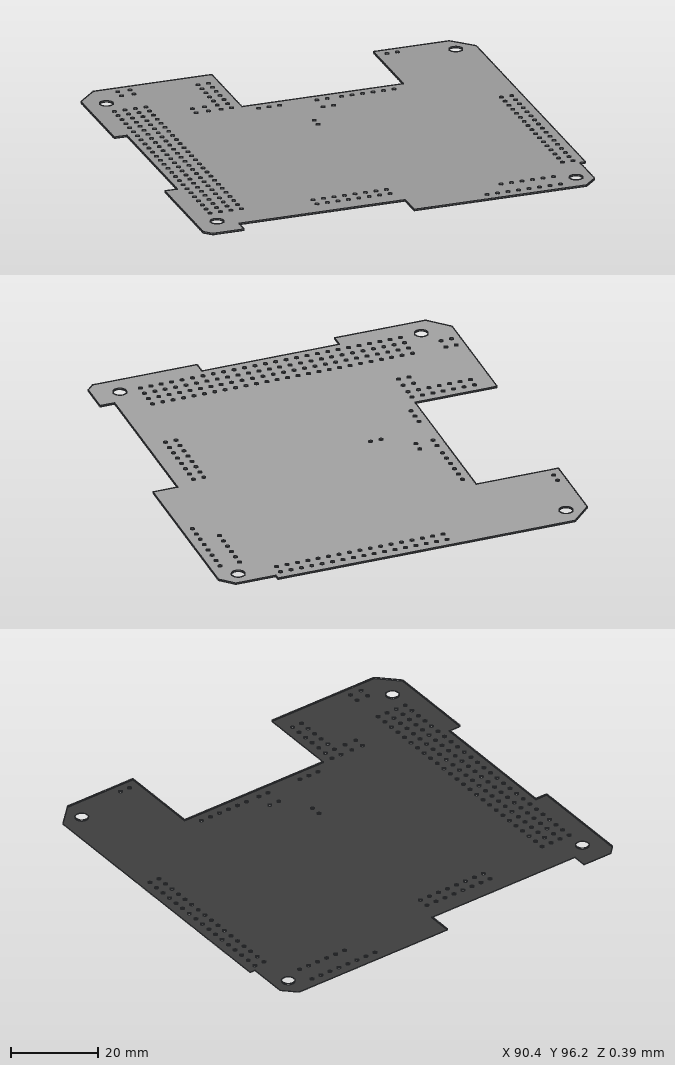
import cadquery as cq

board_width = 90.4
board_length = 96.2
board_thickness = 0.39

top_left_cut = 4.8
top_right_cut = 3.1
bottom_left_cut = 4.7
bottom_right_cut = 1.7

left_recess_depth = 20.1
left_recess_bottom = 33.6
left_recess_top = 72.9
bottom_recess_depth = 3.1
bottom_recess_left = 26.9
bottom_recess_right = 60.6
right_recess_x = 84.3
right_recess_bottom = 9.3
right_recess_top = 49.8
top_step_x = 77.5
top_step_depth = 1.3

tab_right_x = 87.9

mount_diameter = 3.2
mount_inset = 5.1
lower_left_mount_x = 7.7
lower_right_mount_x = 81.4

pin_diameter = 0.9
long_header_columns = 26
long_header_span = 63.7
pin_pitch = long_header_span / (long_header_columns - 1)
wide_row_spacing = 3.0
jumper_column_spacing = 4.2

long_header_origin = (12.8, 5.2)
top_header_origin = (35.2, 91.2)
right_inner_column_origin = (83.2, 73.6)
right_outer_column_origin = (87.9, 68.5)
right_header_origin = (77.2, 30.0)
upper_left_pair_origin = (2.1, 75.4)
middle_pair_origin = (33.3, 46.35)
left_header_origin = (4.6, 28.6)
left_header_columns = 7
left_block_bottom = 22.5
corner_block_origin = (2.1, 9.9)

left_line_x = 22.3
upper_line_bottom = 57.0
jumper_bottom = 51.0
lower_line_bottom = 36.8

left_block_x = left_header_origin[0] + (left_header_columns - 2) * pin_pitch


def pin_grid(origin, columns, rows, column_step=pin_pitch, row_step=pin_pitch):
    """Centres of a rectangular pin group, from its lower-left pin."""
    left, bottom = origin
    return [
        (left + column * column_step, bottom + row * row_step)
        for column in range(columns)
        for row in range(rows)
    ]


def board_blank():
    """Flat board with its corner cuts and edge recesses."""
    right_shoulder_y = board_length - top_step_depth
    outline = [
        (bottom_left_cut, 0),
        (bottom_recess_left, 0),
        (bottom_recess_left, bottom_recess_depth),
        (bottom_recess_right, bottom_recess_depth),
        (bottom_recess_right, 0),
        (tab_right_x - bottom_right_cut, 0),
        (tab_right_x, bottom_right_cut),
        (tab_right_x, right_recess_bottom),
        (right_recess_x, right_recess_bottom),
        (right_recess_x, right_recess_top),
        (board_width, right_recess_top),
        (board_width, right_shoulder_y - top_right_cut),
        (board_width - top_right_cut, right_shoulder_y),
        (top_step_x, right_shoulder_y),
        (top_step_x, board_length),
        (top_left_cut, board_length),
        (0, board_length - top_left_cut),
        (0, left_recess_top),
        (left_recess_depth, left_recess_top),
        (left_recess_depth, left_recess_bottom),
        (0, left_recess_bottom),
        (0, bottom_left_cut),
    ]
    return cq.Workplane("XY").polyline(outline).close().extrude(board_thickness)


def through_holes(centres, diameter):
    """Cylinders that cut holes right through the board."""
    return cq.Workplane("XY").pushPoints(centres).circle(diameter / 2).extrude(board_thickness)


mount_centres = [
    (mount_inset, board_length - mount_inset),
    (board_width - mount_inset, board_length - mount_inset),
    (lower_left_mount_x, mount_inset),
    (lower_right_mount_x, mount_inset),
]

pin_centres = (
    pin_grid(long_header_origin, long_header_columns, 4)
    + pin_grid(top_header_origin, 17, 2)
    + pin_grid(right_inner_column_origin, 1, 6)
    + pin_grid(right_outer_column_origin, 1, 8)
    + pin_grid(right_header_origin, 2, 8)
    + pin_grid(upper_left_pair_origin, 1, 2)
    + pin_grid((left_line_x, upper_line_bottom), 1, 6)
    + pin_grid((left_line_x, jumper_bottom), 2, 2, column_step=jumper_column_spacing)
    + pin_grid((left_line_x, lower_line_bottom), 1, 3)
    + pin_grid(middle_pair_origin, 2, 1)
    + pin_grid(left_header_origin, left_header_columns, 2)
    + pin_grid((left_block_x, left_block_bottom), 2, 2, row_step=wide_row_spacing)
    + pin_grid(corner_block_origin, 2, 2, row_step=wide_row_spacing)
)

result = (
    board_blank()
    .cut(through_holes(mount_centres, mount_diameter))
    .cut(through_holes(pin_centres, pin_diameter))
)